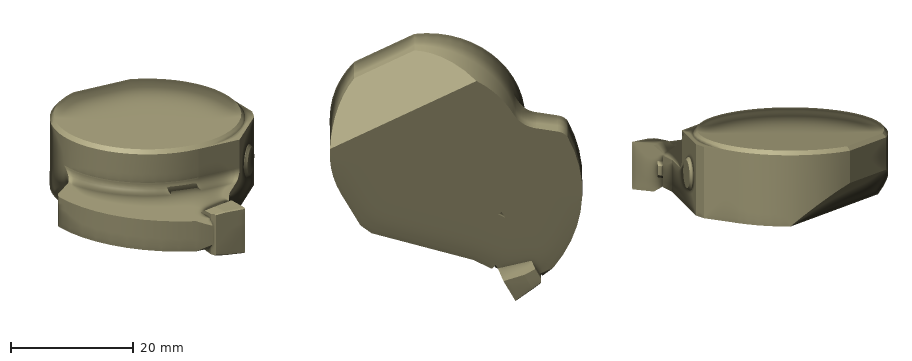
import cadquery as cq
import math


disc_radius = 16.0
disc_height = 12.65
rim_chamfer = 0.65
flat_x = -15.0
heel_bevel = 6.55

arm_thickness = 5.35
root_fillet = 1.65
toe_radius = 5.1
toe_angle = math.radians(52)
toe_flat_length = 3.65
rim_center_x, rim_center_y = 7.0, 1.95
rim_radius = 23.75
rim_start_x = 7.9
arm_tip_bevel = 1.0

shoulder_height = disc_height - rim_chamfer
shoulder_start_x = 6.65
shoulder_end_x, shoulder_end_y = 8.8, 15.1
jaw_break_x = 21.05
jaw_tip = (24.0, 0.9)

screw_diameter = 5.5
screw_protrusion = 0.55
screw_chamfer = 0.4
screw_center_x = 12.05
screw_center_z = shoulder_height / 2

seat_floor_y = -5.55
seat_height = 6.2
seat_top_inner = (16.3, -0.5)
seat_top_outer = (23.65, -0.15)
seat_end_low = (15.4, -4.9)
seat_corner_x = 15.28
seat_clearance_x = 36.5

stem_bevel_x = 16.45
head_mid_y = -3.5
head_top_x = 30.6
head_end_relief = math.radians(9.3)
heel_corner_x, heel_corner_y = 0.7, 0.4
tip_chamfer = 0.2
head_root_x = 24.4
head_root_lead = 0.24
head_flare = 0.62
head_sections = [
    (0.0, 3.88, 4.0),
    (head_mid_y, 3.75, 3.88),
    (seat_floor_y, 3.45, 3.6),
]
bump_x0, bump_x1 = 23.8, 25.65
bump_height = 0.78
bump_width = 2.75
bump_slope = 0.6

diagonal = math.sqrt(0.5)
diagonal_sum = shoulder_end_x + shoulder_end_y
rim_start = -math.acos((rim_start_x - rim_center_x) / rim_radius)
rim_end = math.asin((seat_floor_y - rim_center_y) / rim_radius)


def rim_point(angle):
    """Point of the arm's outer rim at an angle from +X."""
    return (rim_center_x + rim_radius * math.cos(angle), rim_center_y + rim_radius * math.sin(angle))


def toe_point(angle):
    """Point of the concave toe that leaves the disc tangentially at its lowest point."""
    return (toe_radius * math.sin(angle), -disc_radius - toe_radius * (1 - math.cos(angle)))


def arm_outline():
    """Plan outline of the arm, toe, shoulder and jaw, closed through the disc."""
    toe_end = toe_point(toe_angle)
    toe_flat_end = (
        toe_end[0] + toe_flat_length * math.cos(toe_angle),
        toe_end[1] - toe_flat_length * math.sin(toe_angle),
    )
    return (
        cq.Workplane("XY")
        .moveTo(0, -disc_radius)
        .threePointArc(toe_point(toe_angle / 2), toe_end)
        .lineTo(*toe_flat_end)
        .tangentArcPoint(rim_point(rim_start), relative=False)
        .threePointArc(rim_point((rim_start + rim_end) / 2), rim_point(rim_end))
        .lineTo(seat_top_outer[0], seat_floor_y)
        .lineTo(*seat_top_outer)
        .lineTo(*jaw_tip)
        .lineTo(jaw_break_x, diagonal_sum - jaw_break_x)
        .lineTo(shoulder_end_x, shoulder_end_y)
        .lineTo(shoulder_start_x, disc_radius)
        .lineTo(0, disc_radius)
        .close()
    )


def make_disc():
    """Disc with a flat on its -X side and a chamfered top rim."""
    disc = cq.Workplane("XY").circle(disc_radius).extrude(disc_height)
    side = 2 * disc_radius
    beyond_flat = cq.Workplane("XY").box(side, side, disc_height, centered=(True, True, False))
    disc = disc.cut(beyond_flat.translate((flat_x - disc_radius, 0, 0)))
    return disc.faces(">Z").edges().chamfer(rim_chamfer)


def make_shoulder():
    """Full-height corner beside the disc, ended by a plane tangent to the disc on +X."""
    corner = cq.Workplane("XY").rect(disc_radius, disc_radius, centered=False).extrude(shoulder_height)
    return arm_outline().extrude(shoulder_height).intersect(corner)


def root_fillet_section():
    """Concave fillet profile in XZ, overlapping the disc wall and the arm by its own radius."""
    top = arm_thickness + root_fillet
    center_x = disc_radius + root_fillet
    inside = (disc_radius - root_fillet, arm_thickness - root_fillet)
    return (
        cq.Workplane("XZ")
        .moveTo(*inside)
        .lineTo(center_x, inside[1])
        .lineTo(center_x, arm_thickness)
        .threePointArc(
            (center_x - root_fillet * diagonal, top - root_fillet * diagonal), (disc_radius, top)
        )
        .lineTo(inside[0], top)
        .close()
    )


def make_root_fillet():
    """Fillet that follows the disc below Y = 0 and the shoulder wall above it."""
    around_disc = root_fillet_section().revolve(90, (0, 0, 0), (0, -1, 0))
    along_shoulder = root_fillet_section().extrude(-disc_radius)
    within = arm_outline().extrude(arm_thickness + root_fillet)
    return around_disc.union(along_shoulder).intersect(within)


def bevel_arm_tip(body):
    """45 degree bevels on the upper and lower edges of the arm's tip."""
    tip_x = rim_point(rim_end)[0]
    for edge_z, inward in ((0, 1), (arm_thickness, -1)):
        wedge = (
            cq.Workplane("XZ")
            .moveTo(tip_x - arm_tip_bevel, edge_z)
            .lineTo(tip_x, edge_z + inward * arm_tip_bevel)
            .lineTo(tip_x + arm_tip_bevel, edge_z)
            .close()
            .extrude(disc_radius)
        )
        body = body.cut(wedge)
    return body


def make_seat():
    """Open slot for the insert, cut through the arm and the root fillet."""
    return (
        cq.Workplane("XY")
        .moveTo(seat_corner_x, seat_floor_y)
        .lineTo(seat_clearance_x, seat_floor_y)
        .lineTo(seat_clearance_x, seat_top_outer[1])
        .lineTo(*seat_top_outer)
        .lineTo(*seat_top_inner)
        .lineTo(*seat_end_low)
        .close()
        .extrude(seat_height)
    )


def make_screw_head():
    """Chamfered round head on the 45 degree face; it starts below the face so that it joins it."""
    face_center = cq.Vector(screw_center_x, diagonal_sum - screw_center_x, screw_center_z)
    outward = cq.Vector(1, 1, 0).normalized()
    plane = cq.Plane(origin=face_center - outward * screw_protrusion, xDir=(0, 0, 1), normal=outward)
    head = cq.Workplane(plane).circle(screw_diameter / 2).extrude(2 * screw_protrusion)
    return head.faces(cq.selectors.DirectionMinMaxSelector(outward)).chamfer(screw_chamfer)


def make_heel_wedge():
    """45 degree wedge removed below the flat."""
    return (
        cq.Workplane("XZ")
        .moveTo(flat_x, heel_bevel)
        .lineTo(flat_x, 0)
        .lineTo(flat_x + heel_bevel, 0)
        .close()
        .extrude(disc_radius, both=True)
    )


def make_holder():
    """Tool holder: disc, shoulder, arm, root fillet and screw head, less the heel and the seat."""
    body = make_disc().union(make_shoulder())
    body = body.union(arm_outline().extrude(arm_thickness))
    body = body.union(make_root_fillet())
    body = bevel_arm_tip(body)
    body = body.cut(make_heel_wedge()).cut(make_seat())
    return body.union(make_screw_head())


def head_shoulder_x(y, shoulder_half):
    """X at which the flared side of the head reaches a given half width."""
    root_x = head_root_x - y * head_root_lead
    return root_x + (shoulder_half - arm_thickness / 2) / head_flare


def head_section(y, shoulder_half, end_half):
    """Outline of the insert's wide head at one Y level, symmetric about the arm's mid-height."""
    end_x = head_top_x + y * math.tan(head_end_relief)
    upper = [
        (head_shoulder_x(y, arm_thickness / 2), arm_thickness / 2),
        (head_shoulder_x(y, shoulder_half), shoulder_half),
        (end_x - tip_chamfer, end_half),
        (end_x, end_half - tip_chamfer),
    ]
    lower = [(x, -half) for x, half in reversed(upper)]
    points = [cq.Vector(x, y, arm_thickness / 2 + half) for x, half in upper + lower]
    return cq.Wire.makePolygon(points, close=True)


def make_heel_corner():
    """Wedge removed where the insert's cutting end meets the seat floor."""
    heel_end_x = head_top_x + seat_floor_y * math.tan(head_end_relief)
    return (
        cq.Workplane("XY")
        .moveTo(heel_end_x - heel_corner_x, seat_floor_y)
        .lineTo(heel_end_x + heel_corner_x, seat_floor_y)
        .lineTo(heel_end_x + heel_corner_x, seat_floor_y + 2 * heel_corner_y)
        .close()
        .extrude(2 * arm_thickness, both=True)
    )


def make_bump():
    """Small frustum on the insert's rake face, beside the jaw."""
    return (
        cq.Workplane("XZ")
        .center((bump_x0 + bump_x1) / 2, arm_thickness / 2)
        .rect(bump_x1 - bump_x0, bump_width)
        .workplane(offset=-bump_height)
        .rect(bump_x1 - bump_x0 - 2 * bump_slope, bump_width - 2 * bump_slope)
        .loft(ruled=True)
    )


def make_insert():
    """Grooving insert: flat stem, wide relieved head and a small chip-breaker bump."""
    insert = (
        cq.Workplane("XY")
        .moveTo(stem_bevel_x, seat_floor_y)
        .lineTo(head_shoulder_x(*head_sections[-1][:2]), seat_floor_y)
        .lineTo(head_shoulder_x(*head_sections[0][:2]), 0)
        .lineTo(bump_x0, 0)
        .lineTo(*seat_top_outer)
        .lineTo(*seat_top_inner)
        .lineTo(*seat_end_low)
        .close()
        .extrude(arm_thickness)
    )
    wires = [head_section(*section) for section in head_sections]
    for upper, lower in zip(wires, wires[1:]):
        insert = insert.union(cq.Workplane(obj=cq.Solid.makeLoft([upper, lower], True)))
    return insert.cut(make_heel_corner()).union(make_bump())


holder = make_holder().solids()
insert = make_insert().solids()
result = cq.Compound.makeCompound([holder.val(), insert.val()])